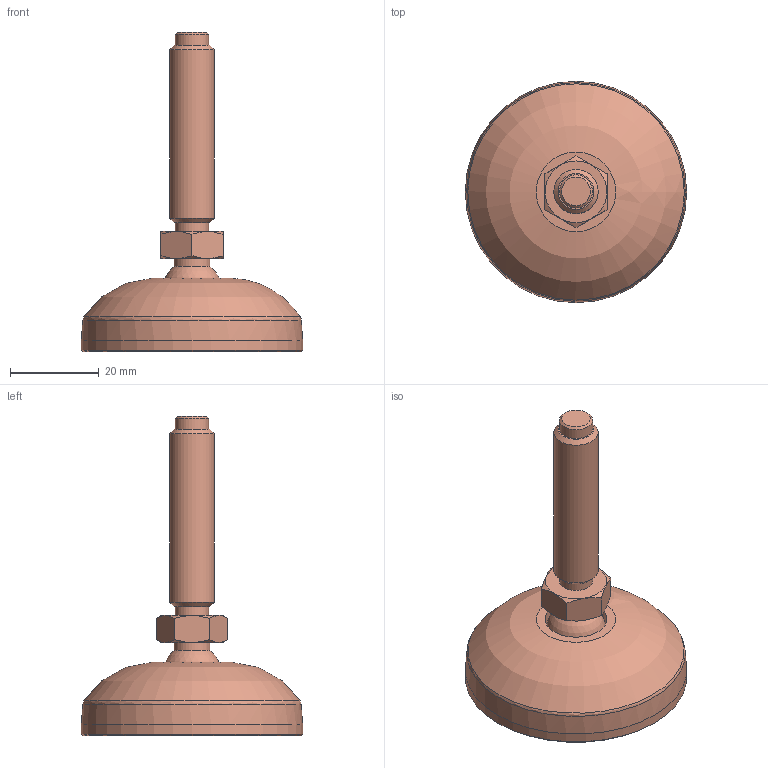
import cadquery as cq
import math

total_height = 72.2

foot_diameter = 50.0
foot_rim_height = 2.5
foot_bottom_chamfer = 0.35
wall_top_diameter = 49.3
wall_top = 7.55
foot_height = 16.6
dome_flat_diameter = 18.0
dome_radius = 19.0
dome_edge_fillet = 1.5

socket_diameter = 14.0
ball_diameter = 13.28
neck_diameter = 8.06
neck_bottom = 19.3

hex_sides = 6
hex_across_flats = 14.05
hex_bottom = 21.05
hex_height = 6.15
hex_chamfer_angle = 30.0
hex_face_diameter = 13.95

shank_diameter = 10.0
relief_diameter = 7.5
shank_bottom = 29.2
shank_top = 69.25
shank_end_diameter = 8.06
pilot_diameter = 7.5
pilot_chamfer = 0.5

neck_radius = neck_diameter / 2
ball_radius = ball_diameter / 2
ball_center = neck_bottom - math.sqrt(ball_radius**2 - neck_radius**2)
hex_top = hex_bottom + hex_height


def revolve_about_z(outline):
    """Close an XZ outline and turn it fully about the Z axis."""
    return outline.close().revolve(360, (0, 0, 0), (0, 1, 0))


def make_foot():
    rim_radius = foot_diameter / 2
    flat_radius = dome_flat_diameter / 2
    wall_radius = wall_top_diameter / 2
    outline = (
        cq.Workplane("XZ")
        .lineTo(rim_radius - foot_bottom_chamfer, 0)
        .lineTo(rim_radius, foot_bottom_chamfer)
        .lineTo(rim_radius, foot_rim_height)
        .lineTo(wall_radius, wall_top)
        .radiusArc((flat_radius, foot_height), -dome_radius)
        .lineTo(0, foot_height)
    )
    foot = revolve_about_z(outline)
    dome_edge = cq.selectors.BoxSelector(
        (-foot_diameter, -foot_diameter, wall_top - dome_edge_fillet),
        (foot_diameter, foot_diameter, wall_top + dome_edge_fillet),
    )
    foot = foot.edges("%CIRCLE").edges(dome_edge).fillet(dome_edge_fillet)
    socket = (
        cq.Workplane("XY", origin=(0, 0, ball_center))
        .circle(socket_diameter / 2)
        .extrude(foot_height - ball_center)
    )
    return foot.cut(socket)


def make_ball_and_neck():
    ball = cq.Workplane("XY", origin=(0, 0, ball_center)).sphere(ball_radius)
    neck = (
        cq.Workplane("XY", origin=(0, 0, ball_center))
        .circle(neck_radius)
        .extrude(hex_bottom - ball_center)
    )
    return ball.union(neck)


def make_hex_collar():
    across_corners = hex_across_flats / math.cos(math.pi / hex_sides)
    corner_radius = across_corners / 2
    face_radius = hex_face_diameter / 2
    chamfer_height = (corner_radius - face_radius) * math.tan(math.radians(hex_chamfer_angle))
    corner_direction = 90
    prism = (
        cq.Workplane("XY", origin=(0, 0, hex_bottom))
        .polygon(hex_sides, across_corners)
        .extrude(hex_height)
        .rotate((0, 0, 0), (0, 0, 1), corner_direction)
    )
    trimming_cone = revolve_about_z(
        cq.Workplane("XZ")
        .moveTo(0, hex_bottom)
        .lineTo(face_radius, hex_bottom)
        .lineTo(corner_radius, hex_bottom + chamfer_height)
        .lineTo(corner_radius, hex_top - chamfer_height)
        .lineTo(face_radius, hex_top)
        .lineTo(0, hex_top)
    )
    return prism.intersect(trimming_cone)


def make_shank():
    shank_radius = shank_diameter / 2
    relief_radius = relief_diameter / 2
    end_radius = shank_end_diameter / 2
    pilot_radius = pilot_diameter / 2
    end_chamfer = shank_radius - end_radius
    outline = (
        cq.Workplane("XZ")
        .moveTo(0, hex_top)
        .lineTo(relief_radius, hex_top)
        .lineTo(relief_radius, shank_bottom)
        .lineTo(end_radius, shank_bottom)
        .lineTo(shank_radius, shank_bottom + end_chamfer)
        .lineTo(shank_radius, shank_top - end_chamfer)
        .lineTo(end_radius, shank_top)
        .lineTo(pilot_radius, shank_top)
        .lineTo(pilot_radius, total_height - pilot_chamfer)
        .lineTo(pilot_radius - pilot_chamfer, total_height)
        .lineTo(0, total_height)
    )
    return revolve_about_z(outline)


result = (
    make_foot()
    .union(make_ball_and_neck())
    .union(make_hex_collar())
    .union(make_shank())
)